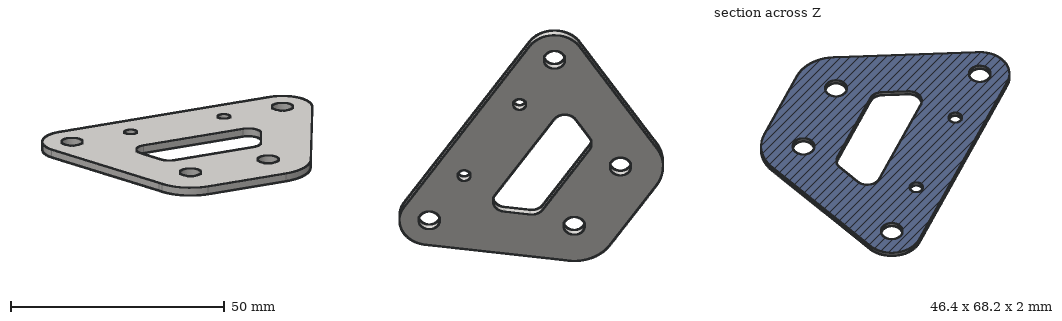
import cadquery as cq
import math

plate_length = 68.17
plate_width = 46.39
thickness = 2.0
mounting_diameter = 5.0
pilot_diameter = 3.0

wide_radius = 7.0
narrow_radius = 10.0
wide_x = 0.0
wide_y = plate_length / 2 - wide_radius
narrow_x = wide_x + plate_width - wide_radius - narrow_radius
narrow_y = 10.0
pilot_y = 12.0

wide_arc_reach = 2.55
narrow_arc_reach = 3.95
flat_run = 0.83

window_left = 9.1
window_right = 20.7
window_wide_y = 17.5
window_fillet = 3.0


def on_circle(x, y, radius, angle):
    return (x + radius * math.cos(angle), y + radius * math.sin(angle))


def mirrored(point):
    return (point[0], -point[1])


wide_angle = math.acos(wide_arc_reach / wide_radius)
wide_side = (wide_x - wide_radius, wide_y)
wide_middle = on_circle(wide_x, wide_y, wide_radius, (wide_angle + math.pi) / 2)
wide_end = on_circle(wide_x, wide_y, wide_radius, wide_angle)
narrow_angle = math.acos(narrow_arc_reach / narrow_radius)
narrow_end = on_circle(narrow_x, narrow_y, narrow_radius, narrow_angle)
narrow_middle = on_circle(narrow_x, narrow_y, narrow_radius, narrow_angle / 2)
narrow_side = (narrow_x + narrow_radius, narrow_y)
flat_start = (narrow_end[0] - flat_run, narrow_end[1] + flat_run / math.tan(narrow_angle))

side_slope = (flat_start[1] - wide_end[1]) / (flat_start[0] - wide_end[0])
window_narrow_y = window_wide_y + side_slope * (window_right - window_left)


def make_plate():
    return (
        cq.Workplane("XY")
        .moveTo(*wide_side)
        .threePointArc(wide_middle, wide_end)
        .lineTo(*flat_start)
        .lineTo(*narrow_end)
        .threePointArc(narrow_middle, narrow_side)
        .lineTo(*mirrored(narrow_side))
        .threePointArc(mirrored(narrow_middle), mirrored(narrow_end))
        .lineTo(*mirrored(flat_start))
        .lineTo(*mirrored(wide_end))
        .threePointArc(mirrored(wide_middle), mirrored(wide_side))
        .close()
        .extrude(thickness)
    )


def make_window():
    wide_corner = (window_left, window_wide_y)
    narrow_corner = (window_right, window_narrow_y)
    return (
        cq.Workplane("XY")
        .polyline([wide_corner, narrow_corner, mirrored(narrow_corner), mirrored(wide_corner)])
        .close()
        .extrude(thickness)
        .edges("|Z")
        .fillet(window_fillet)
    )


def make_holes(x, y, diameter):
    return (
        cq.Workplane("XY")
        .pushPoints([(x, y), (x, -y)])
        .circle(diameter / 2)
        .extrude(thickness)
    )


result = (
    make_plate()
    .cut(make_window())
    .cut(make_holes(wide_x, wide_y, mounting_diameter))
    .cut(make_holes(narrow_x, narrow_y, mounting_diameter))
    .cut(make_holes(wide_x, pilot_y, pilot_diameter))
)